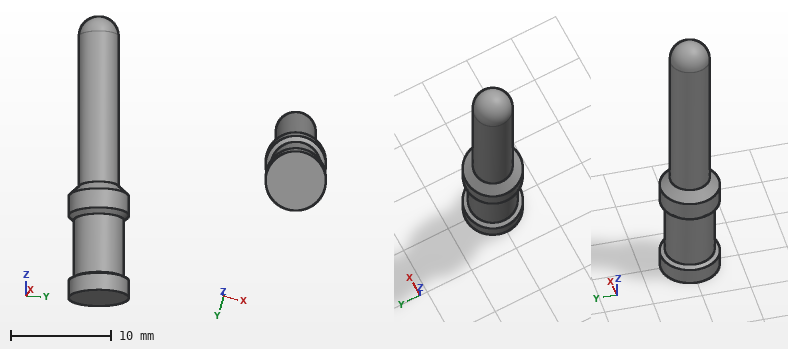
import cadquery as cq

total_height = 29.0
collar_radius = 6.0 / 2
barrel_radius = 5.0 / 2
pin_radius = 4.0 / 2

flange_edge_top = 1.75
flange_bevel_top = 2.0
collar_bevel_bottom = 8.0
collar_edge_bottom = 8.5
collar_edge_top = 10.47
collar_bevel_top = 11.45
dome_start = total_height - pin_radius
dome_mid_offset = pin_radius * 0.5 ** 0.5

profile = (
    cq.Workplane("XZ")
    .moveTo(0, 0)
    .lineTo(collar_radius, 0)
    .lineTo(collar_radius, flange_edge_top)
    .lineTo(barrel_radius, flange_bevel_top)
    .lineTo(barrel_radius, collar_bevel_bottom)
    .lineTo(collar_radius, collar_edge_bottom)
    .lineTo(collar_radius, collar_edge_top)
    .lineTo(pin_radius, collar_bevel_top)
    .lineTo(pin_radius, dome_start)
    .threePointArc((dome_mid_offset, dome_start + dome_mid_offset), (0, total_height))
    .close()
)

result = profile.revolve(360, (0, 0, 0), (0, 1, 0))